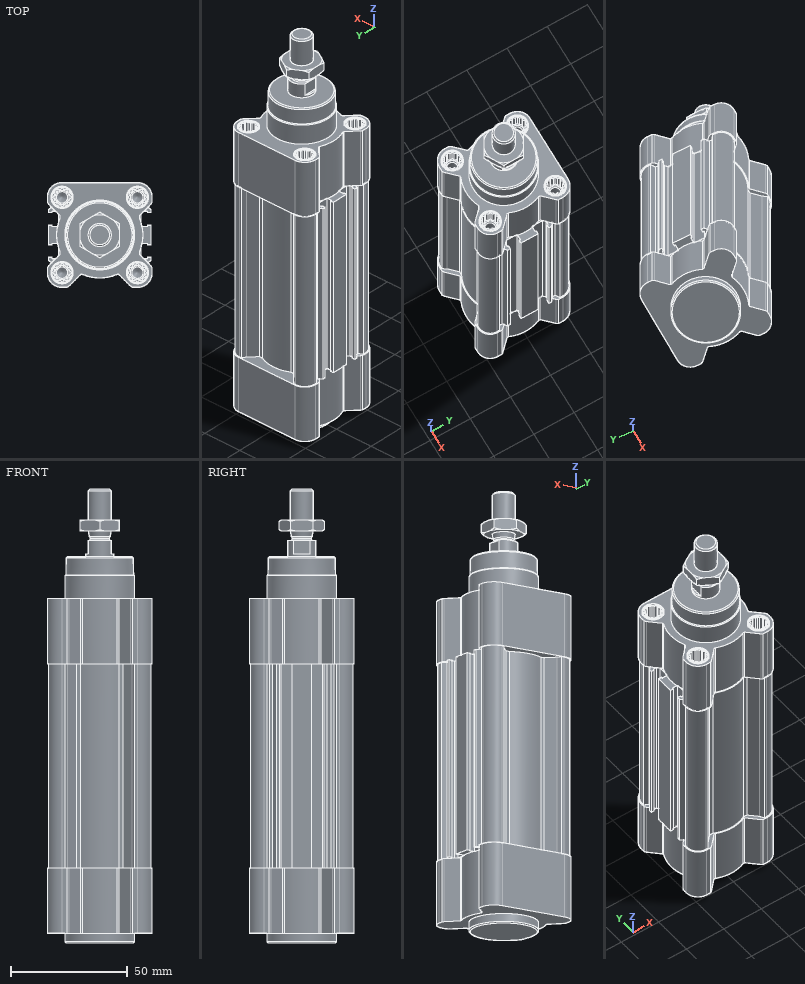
import cadquery as cq
import math


BOTTOM_Z = 0.0
REAR_CAP_Z = 4.0
CAP_LENGTH = 28.0
HOUSING_LENGTH = 144.0
COLLAR_LENGTH = 10.1
RING_LENGTH = 7.8
SHOULDER_Z = 173.0
NUT_Z = 177.0
NUT_HEIGHT = 4.9
TOP_Z = 195.1

TUBE_Z = REAR_CAP_Z + CAP_LENGTH
FRONT_Z = REAR_CAP_Z + HOUSING_LENGTH
FRONT_CAP_Z = FRONT_Z - CAP_LENGTH
RING_Z = FRONT_Z + COLLAR_LENGTH
RING_TOP_Z = RING_Z + RING_LENGTH

CAP_SIZE = 45.0
CAP_CORNER_RADIUS = 6.2
CAP_BARREL_RADIUS = 18.5
CAP_LEDGE = 17.0
CAP_LEDGE_END = 8.2
CAP_FLAT_START = 14.0
CAP_EDGE_BREAK = 0.8

TUBE_SIZE = 44.0
TUBE_CORNER_RADIUS = 5.9
TUBE_BARREL_RADIUS = 18.1
TUBE_LEDGE = 16.2
TUBE_LEDGE_END = 10.0
LEG_KNEE = (13.9, 20.0)
LEG_FLAT_START = 15.0

SLOT_FLOOR = 17.8
RIB_HALF_WIDTH = 3.7
RIB_HEAD_HALF_WIDTH = 4.3
LIP_INNER = 20.5
TOOTH_SIDE = 9.5
SLOT_END = 10.1
SLOT_SHOULDER = 18.7
SLOT_FLOOR_END = 9.0
TOOTH_TIP_END = 11.0
GROOVE_DEPTH = 20.0
GROOVE_START = 12.5

COLLAR_DIAMETER = 30.0
RING_BASE_DIAMETER = 29.3
RING_TOP_DIAMETER = 28.9
RING_CHAMFER = 0.5
REAR_BOSS_CHAMFER = 0.5

SCREW_SPACING = 32.4
SCREW_POCKET_DIAMETER = 9.5
SCREW_POCKET_DEPTH = 1.2
SCREW_HEAD_DIAMETER = 9.0
SCREW_HEAD_TOP_DIAMETER = 8.5
SCREW_HEAD_DROP = 0.2
SOCKET_DIAMETER = 8.2
SOCKET_DEPTH = 7.8
SOCKET_INNER_DIAMETER = 6.6
SOCKET_POINTS = 12
SCREW_HOLE_DIAMETER = 4.9
COUNTERSINK_DIAMETER = 6.0
SCREW_HOLE_DEPTH = 7.8
DRILL_POINT_ANGLE = 118.0

ROD_DIAMETER = 12.0
ROD_END_Z = FRONT_CAP_Z
FLATS_WIDTH = 10.0
FLATS_Z = 167.2
THREAD_DIAMETER = 10.0
THREAD_CHAMFER = 0.8
THREAD_RUNOUT_DIAMETER = 9.0
THREAD_RUNOUT_Z = 174.6
NECK_DIAMETER = 8.2
NECK_TAPER = 0.5

NUT_ACROSS_FLATS = 17.0
NUT_CHAMFER_DIAMETER = 17.4
NUT_CHAMFER_ANGLE = 30.0


def side_recess(points, ledge, barrel_radius, length):
    """Cutter for the recess of the -Y side between two legs, with the round barrel left standing.

    The points give half the recess as (distance along the side, distance outwards),
    from the outside to the ledge next to the barrel.
    """
    ledge_inner_end = math.sqrt(barrel_radius**2 - ledge**2)
    outline = points + [(ledge_inner_end, ledge)]
    outer_end = points[0][0]
    recess = cq.Workplane("XY").moveTo(outer_end, -CAP_SIZE)
    for along, out in outline:
        recess = recess.lineTo(along, -out)
    recess = recess.threePointArc((0, -barrel_radius), (-ledge_inner_end, -ledge))
    for along, out in reversed(points):
        recess = recess.lineTo(-along, -out)
    return recess.lineTo(-outer_end, -CAP_SIZE).close().extrude(length)


def rounded_square(size, corner_radius, length):
    return cq.Workplane("XY").rect(size, size).extrude(length).edges("|Z").fillet(corner_radius)


def turned(cutter, angle):
    return cutter.rotate((0, 0, 0), (0, 0, 1), angle)


def end_cap():
    """Square cap with a flat +Y side and a recess on each of the other three sides."""
    half = CAP_SIZE / 2
    leg_offset = CAP_LEDGE - CAP_LEDGE_END
    slope_end = half - CAP_EDGE_BREAK * math.sqrt(0.5)
    points = [
        (CAP_FLAT_START, half),
        (slope_end - leg_offset, slope_end),
        (CAP_LEDGE_END, CAP_LEDGE),
    ]
    cap = rounded_square(CAP_SIZE, CAP_CORNER_RADIUS, CAP_LENGTH)
    recess = side_recess(points, CAP_LEDGE, CAP_BARREL_RADIUS, CAP_LENGTH)
    for angle in (-90, 0, 90):
        cap = cap.cut(turned(recess, angle))
    return cap


def sensor_slots(length):
    """Cutter for the two undercut slots and two corner grooves of the -Y side."""
    half = TUBE_SIZE / 2
    outside = CAP_SIZE / 2
    slot = [
        (RIB_HEAD_HALF_WIDTH, outside),
        (RIB_HEAD_HALF_WIDTH, LIP_INNER),
        (RIB_HALF_WIDTH, LIP_INNER),
        (RIB_HALF_WIDTH, SLOT_FLOOR),
        (SLOT_FLOOR_END, SLOT_FLOOR),
        (SLOT_END, SLOT_SHOULDER),
        (SLOT_END, LIP_INNER),
        (TOOTH_SIDE, LIP_INNER),
        (TOOTH_SIDE, outside),
    ]
    groove = [
        (TOOTH_TIP_END, half),
        (GROOVE_START, GROOVE_DEPTH),
        LEG_KNEE,
        (LEG_FLAT_START, half),
    ]
    cutter = cq.Workplane("XY")
    for outline in (slot, groove):
        for side in (-1, 1):
            points = [(side * along, -out) for along, out in outline]
            cutter = cutter.add(cq.Workplane("XY").polyline(points).close().extrude(length))
    return cutter.combine()


def tube():
    """Profiled tube with barrel recesses on -Y and +Y and sensor slots on -X and +X."""
    length = FRONT_CAP_Z - TUBE_Z
    points = [
        (LEG_FLAT_START, TUBE_SIZE / 2),
        LEG_KNEE,
        (TUBE_LEDGE_END, TUBE_LEDGE),
    ]
    body = rounded_square(TUBE_SIZE, TUBE_CORNER_RADIUS, length)
    recess = side_recess(points, TUBE_LEDGE, TUBE_BARREL_RADIUS, length)
    slots = sensor_slots(length)
    for angle in (0, 180):
        body = body.cut(turned(recess, angle))
        body = body.cut(turned(slots, angle + 90))
    return body


def turned_body(half_profile):
    """Solid of revolution about Z from (radius, z) points that start and end on the axis."""
    return cq.Workplane("XZ").polyline(half_profile).close().revolve(360, (0, 0, 0), (0, 1, 0))


def collar_and_ring():
    collar_radius = COLLAR_DIAMETER / 2
    ring_base_radius = RING_BASE_DIAMETER / 2
    ring_radius = RING_TOP_DIAMETER / 2
    return turned_body([
        (0, FRONT_Z),
        (collar_radius, FRONT_Z),
        (collar_radius, RING_Z - (collar_radius - ring_base_radius)),
        (ring_base_radius, RING_Z),
        (ring_radius, RING_TOP_Z - RING_CHAMFER),
        (ring_radius - RING_CHAMFER, RING_TOP_Z),
        (0, RING_TOP_Z),
    ])


def rear_boss():
    boss = cq.Workplane("XY").circle(COLLAR_DIAMETER / 2).extrude(REAR_CAP_Z - BOTTOM_Z)
    return boss.faces("<Z").chamfer(REAR_BOSS_CHAMFER)


def screw_socket():
    """Star-shaped prism that fills the socket of a screw head."""
    radii = (SOCKET_DIAMETER / 2, SOCKET_INNER_DIAMETER / 2)
    step = math.pi / SOCKET_POINTS
    star = [
        (radii[index % 2] * math.cos(index * step), radii[index % 2] * math.sin(index * step))
        for index in range(2 * SOCKET_POINTS)
    ]
    return cq.Workplane("XY").polyline(star).close().extrude(-SOCKET_DEPTH)


def screw_recess():
    """Cutter with its top at z = 0: gap round a screw head, twelve-point socket and drilled hole."""
    pocket = cq.Workplane("XY").circle(SCREW_POCKET_DIAMETER / 2).extrude(-SCREW_POCKET_DEPTH)
    head_radius = SCREW_HEAD_DIAMETER / 2
    head_top_radius = SCREW_HEAD_TOP_DIAMETER / 2
    head_edge_z = -SCREW_HEAD_DROP - (head_radius - head_top_radius)
    head = turned_body([
        (0, -SCREW_POCKET_DEPTH),
        (head_radius, -SCREW_POCKET_DEPTH),
        (head_radius, head_edge_z),
        (head_top_radius, -SCREW_HEAD_DROP),
        (0, -SCREW_HEAD_DROP),
    ])
    recess = pocket.cut(head)
    recess = recess.union(screw_socket())
    hole_radius = SCREW_HOLE_DIAMETER / 2
    sink_radius = COUNTERSINK_DIAMETER / 2
    hole_end_z = -SOCKET_DEPTH - SCREW_HOLE_DEPTH
    point_length = hole_radius / math.tan(math.radians(DRILL_POINT_ANGLE / 2))
    hole = turned_body([
        (0, -SOCKET_DEPTH),
        (sink_radius, -SOCKET_DEPTH),
        (hole_radius, -SOCKET_DEPTH - (sink_radius - hole_radius)),
        (hole_radius, hole_end_z),
        (0, hole_end_z - point_length),
    ])
    return recess.union(hole)


def make_housing():
    body = rear_boss()
    body = body.union(end_cap().translate((0, 0, REAR_CAP_Z)))
    body = body.union(tube().translate((0, 0, TUBE_Z)))
    body = body.union(end_cap().translate((0, 0, FRONT_CAP_Z)))
    body = body.union(collar_and_ring())
    recess = screw_recess()
    for x_side in (-1, 1):
        for y_side in (-1, 1):
            place = (x_side * SCREW_SPACING / 2, y_side * SCREW_SPACING / 2, FRONT_Z)
            body = body.cut(recess.translate(place))
    rod_bore = cq.Workplane("XY").workplane(offset=ROD_END_Z).circle(ROD_DIAMETER / 2)
    return body.cut(rod_bore.extrude(RING_TOP_Z - ROD_END_Z))


def make_rod():
    """Piston rod with two wrench flats, a thread relief neck and a threaded end."""
    rod_radius = ROD_DIAMETER / 2
    thread_radius = THREAD_DIAMETER / 2
    runout_radius = THREAD_RUNOUT_DIAMETER / 2
    neck_radius = NECK_DIAMETER / 2
    rod = turned_body([
        (0, ROD_END_Z),
        (rod_radius, ROD_END_Z),
        (rod_radius, SHOULDER_Z),
        (runout_radius, SHOULDER_Z),
        (neck_radius, SHOULDER_Z + NECK_TAPER),
        (neck_radius, THREAD_RUNOUT_Z - NECK_TAPER),
        (runout_radius, THREAD_RUNOUT_Z),
        (thread_radius, NUT_Z),
        (thread_radius, TOP_Z - THREAD_CHAMFER),
        (thread_radius - THREAD_CHAMFER, TOP_Z),
        (0, TOP_Z),
    ])
    for side in (-1, 1):
        flat = cq.Workplane("XY").box(
            ROD_DIAMETER, ROD_DIAMETER, SHOULDER_Z - FLATS_Z, centered=(True, True, False)
        )
        rod = rod.cut(flat.translate((side * (FLATS_WIDTH + ROD_DIAMETER) / 2, 0, FLATS_Z)))
    return rod


def make_nut():
    """Hexagon nut with two flats facing -X and +X and both ends turned to a chamfer."""
    corner_radius = NUT_ACROSS_FLATS / 2 / math.cos(math.radians(30))
    chamfer_radius = NUT_CHAMFER_DIAMETER / 2
    chamfer_height = (corner_radius - chamfer_radius) * math.tan(math.radians(NUT_CHAMFER_ANGLE))
    hexagon = cq.Workplane("XY").polygon(6, 2 * corner_radius).extrude(NUT_HEIGHT)
    envelope = turned_body([
        (0, 0),
        (chamfer_radius, 0),
        (corner_radius, chamfer_height),
        (corner_radius, NUT_HEIGHT - chamfer_height),
        (chamfer_radius, NUT_HEIGHT),
        (0, NUT_HEIGHT),
    ])
    thread = cq.Workplane("XY").circle(THREAD_DIAMETER / 2).extrude(NUT_HEIGHT)
    nut = turned(hexagon, 30).intersect(envelope).cut(thread)
    return nut.translate((0, 0, NUT_Z))


housing = make_housing()
rod = make_rod()
nut = make_nut()

result = cq.Compound.makeCompound([housing.val(), rod.val(), nut.val()])